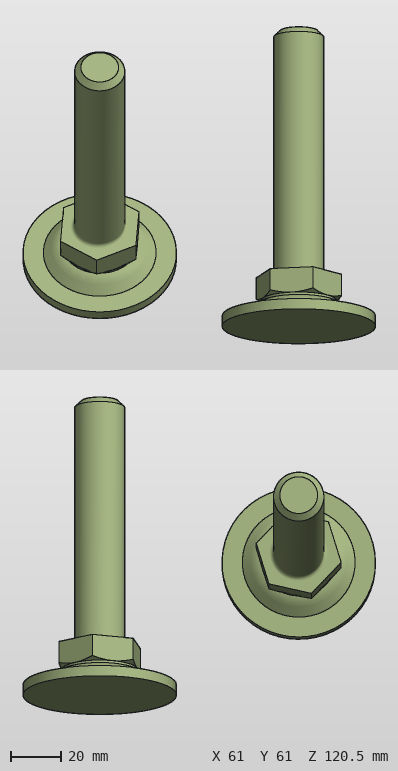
import cadquery as cq
import math

plate_diameter = 61.0
plate_height = 4.2

hex_across_flats = 30.0
hex_height = 10.0
hex_corner_count = 6
hex_chamfer_angle = math.radians(30)

collar_radius = hex_across_flats / 2
collar_height = 1.0

cone_base_radius = 22.4
cone_top_radius = 18.8
cone_height = 3.25
dome_height = 2.05
dome_top_radius = collar_radius

shank_radius = 10.0
stud_length = 100.0
tip_chamfer = 2.5
root_fillet = 1.5

cone_top_z = plate_height + cone_height
dome_top_z = cone_top_z + dome_height
collar_top_z = dome_top_z + collar_height
hex_top_z = collar_top_z + hex_height
tip_z = hex_top_z + stud_length


def make_plate():
    return cq.Workplane("XY").circle(plate_diameter / 2).extrude(plate_height)


def make_domed_cone():
    """Cone that runs tangent into a rounded shoulder and ends in a flat top."""
    return (
        cq.Workplane("XZ")
        .moveTo(0, plate_height)
        .lineTo(cone_base_radius, plate_height)
        .lineTo(cone_top_radius, cone_top_z)
        .tangentArcPoint((dome_top_radius, dome_top_z), relative=False)
        .lineTo(0, dome_top_z)
        .close()
        .revolve(360, (0, 0, 0), (0, 1, 0))
    )


def make_collar():
    return (
        cq.Workplane("XY", origin=(0, 0, dome_top_z))
        .circle(collar_radius)
        .extrude(collar_height)
    )


def make_hexagon():
    """Hexagon whose lower corners are turned down to the circle inside its flats."""
    across_corners = hex_across_flats / math.cos(math.pi / hex_corner_count)
    chamfer_width = (across_corners - hex_across_flats) / 2
    chamfer_height = chamfer_width * math.tan(hex_chamfer_angle)
    base = cq.Workplane("XY", origin=(0, 0, collar_top_z))
    prism = base.polygon(hex_corner_count, across_corners).extrude(hex_height)
    turned_blank = (
        base.circle(across_corners / 2)
        .extrude(hex_height)
        .faces("<Z")
        .chamfer(chamfer_height, chamfer_width)
    )
    return prism.intersect(turned_blank)


def make_shank():
    """Round shank with a concave fillet at its root and a chamfered tip."""
    return (
        cq.Workplane("XZ")
        .moveTo(0, hex_top_z)
        .lineTo(shank_radius + root_fillet, hex_top_z)
        .radiusArc((shank_radius, hex_top_z + root_fillet), root_fillet)
        .lineTo(shank_radius, tip_z - tip_chamfer)
        .lineTo(shank_radius - tip_chamfer, tip_z)
        .lineTo(0, tip_z)
        .close()
        .revolve(360, (0, 0, 0), (0, 1, 0))
    )


def make_stud():
    return make_hexagon().union(make_shank()).solids()


plate = make_plate()
domed_cone = make_domed_cone()
collar = make_collar()
stud = make_stud()

result = cq.Compound.makeCompound([plate.val(), domed_cone.val(), collar.val(), stud.val()])